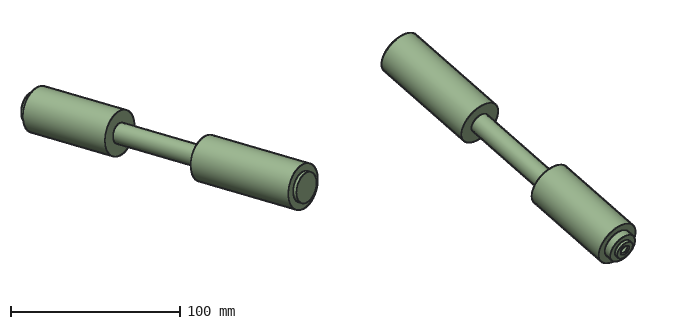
import cadquery as cq
import math

length = 208.0
spigot_end = 2.0
left_roller_start = 7.0
left_roller_end = 68.5
right_roller_start = 132.5
right_roller_end = 205.5

roller_diameter = 28.7
collar_diameter = 19.3
shaft_diameter = 13.0
spigot_diameter = 12.0

hole_diameter = 5.0
hole_mouth_diameter = 6.7
hole_depth = 16.0
drill_point_angle = 118.0


def profile_point(position, diameter):
    """Point of the half profile, with X centred on the part."""
    return (position - length / 2, diameter / 2)


def revolve_steps(steps):
    """Turn (start, end, diameter) steps, listed left to right, about the X axis."""
    points = [profile_point(steps[0][0], 0)]
    for start, end, diameter in steps:
        points.append(profile_point(start, diameter))
        points.append(profile_point(end, diameter))
    points.append(profile_point(steps[-1][1], 0))
    return cq.Workplane("XY").polyline(points).close().revolve(360, (0, 0, 0), (1, 0, 0))


def drilled_hole():
    """Countersunk blind hole with a conical drill point."""
    countersink_depth = (hole_mouth_diameter - hole_diameter) / 2
    point_length = hole_diameter / 2 / math.tan(math.radians(drill_point_angle / 2))
    points = [
        profile_point(0, 0),
        profile_point(0, hole_mouth_diameter),
        profile_point(countersink_depth, hole_diameter),
        profile_point(hole_depth, hole_diameter),
        profile_point(hole_depth + point_length, 0),
    ]
    return cq.Workplane("XY").polyline(points).close().revolve(360, (0, 0, 0), (1, 0, 0))


body = revolve_steps([
    (0, spigot_end, spigot_diameter),
    (spigot_end, left_roller_start, collar_diameter),
    (left_roller_start, left_roller_end, roller_diameter),
    (left_roller_end, right_roller_start, shaft_diameter),
    (right_roller_start, right_roller_end, roller_diameter),
    (right_roller_end, length, collar_diameter),
])

result = body.cut(drilled_hole())